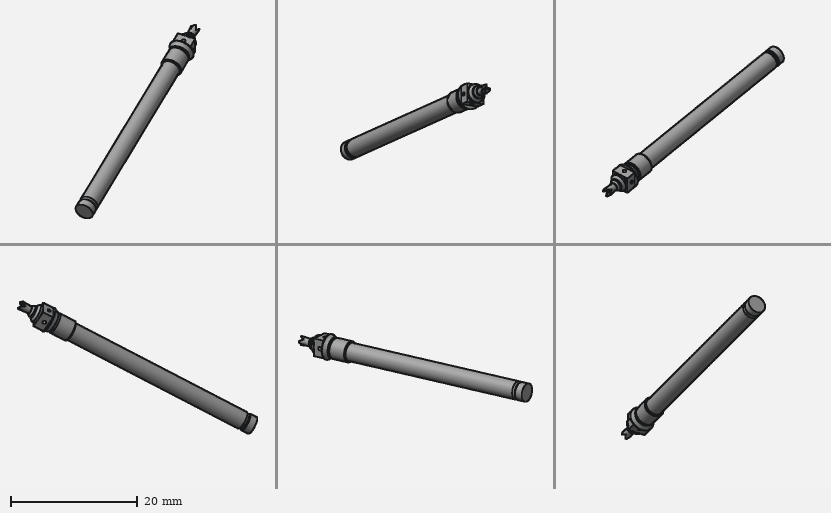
import cadquery as cq

TOTAL_LENGTH = 43.1

BODY_RADIUS = 1.5
CRIMP_RADIUS = 1.36
COLLAR_RADIUS = 1.74
COLLAR_ROOT_RADIUS = 1.56
NECK_RADIUS = 1.64
NECK_TOP_RADIUS = 1.70
RIM_RADIUS = 2.1
NOSE_TIP_RADIUS = 1.07
SHOULDER_RADIUS = 1.0
MOUTH_RADIUS = 0.72
STEM_RADIUS = 0.6
CROWN_RADIUS = 0.74

CRIMP_START = 1.25
CRIMP_FLOOR = 1.45
CRIMP_END = 1.85

COLLAR_ROOT = TOTAL_LENGTH - 9.46
COLLAR_START = TOTAL_LENGTH - 9.3
COLLAR_END = TOTAL_LENGTH - 6.5
NECK_START = TOTAL_LENGTH - 6.15
RIM_END = TOTAL_LENGTH - 5.25
BLOCK_END = TOTAL_LENGTH - 3.4
NOSE_START = TOTAL_LENGTH - 3.0
SHOULDER_START = TOTAL_LENGTH - 2.52
SHOULDER_END = TOTAL_LENGTH - 2.27
STEM_START = TOTAL_LENGTH - 1.85

RIM_THICKNESS = 0.1
FLARE_SAG = 0.08
BLOCK_WIDTH = 2 * BODY_RADIUS

DIMPLE_RADIUS = 0.3
DIMPLE_DEPTH = 0.3
DIMPLE_STATION = TOTAL_LENGTH - 4.52

NOTCH_DEPTH = 0.75
NOTCH_WIDTH = 0.84

QUARTER_TURNS = (0, 90, 180, 270)


def turn_about_axis(shape, angle):
    return shape.rotate((0, 0, 0), (0, 1, 0), angle)


def turned_body():
    """Revolve the stepped half profile about the Y axis; the sketch runs along (Y, Z)."""
    flare_start = RIM_END - RIM_THICKNESS
    flare_middle = (
        (NECK_START + flare_start) / 2,
        (COLLAR_RADIUS + RIM_RADIUS) / 2 - FLARE_SAG,
    )
    profile = (
        cq.Workplane("YZ")
        .lineTo(0, BODY_RADIUS)
        .lineTo(CRIMP_START, BODY_RADIUS)
        .lineTo(CRIMP_FLOOR, CRIMP_RADIUS)
        .threePointArc(((CRIMP_FLOOR + CRIMP_END) / 2, CRIMP_RADIUS), (CRIMP_END, BODY_RADIUS))
        .lineTo(COLLAR_ROOT, BODY_RADIUS)
        .lineTo(COLLAR_START, COLLAR_ROOT_RADIUS)
        .lineTo(COLLAR_START, COLLAR_RADIUS)
        .lineTo(COLLAR_END, COLLAR_RADIUS)
        .lineTo(COLLAR_END, NECK_TOP_RADIUS)
        .lineTo(NECK_START, NECK_RADIUS)
        .lineTo(NECK_START, COLLAR_RADIUS)
        .threePointArc(flare_middle, (flare_start, RIM_RADIUS))
        .lineTo(RIM_END, RIM_RADIUS)
        .lineTo(RIM_END, BODY_RADIUS)
        .lineTo(NOSE_START, BODY_RADIUS)
        .lineTo(SHOULDER_START, NOSE_TIP_RADIUS)
        .lineTo(SHOULDER_START, SHOULDER_RADIUS)
        .lineTo(SHOULDER_END, SHOULDER_RADIUS)
        .lineTo(STEM_START, MOUTH_RADIUS)
        .lineTo(STEM_START, STEM_RADIUS)
        .lineTo(TOTAL_LENGTH, CROWN_RADIUS)
        .lineTo(TOTAL_LENGTH, 0)
        .close()
    )
    return profile.revolve(360, (0, 0, 0), (1, 0, 0))


def square_block():
    """Square grip between the rim and the nose."""
    length = BLOCK_END - RIM_END
    block = cq.Workplane("XY").box(BLOCK_WIDTH, length, BLOCK_WIDTH)
    return block.translate((0, RIM_END + length / 2, 0))


def dimple():
    """Cone sunk into the +Z side of the block."""
    apex = cq.Vector(0, DIMPLE_STATION, BLOCK_WIDTH / 2 - DIMPLE_DEPTH)
    cone = cq.Solid.makeCone(0, DIMPLE_RADIUS, DIMPLE_DEPTH, apex, cq.Vector(0, 0, 1))
    return cq.Workplane(cone)


def crown_notch():
    """V groove across the tip, running along Z."""
    return (
        cq.Workplane("XY")
        .moveTo(0, TOTAL_LENGTH - NOTCH_DEPTH)
        .lineTo(NOTCH_WIDTH / 2, TOTAL_LENGTH)
        .lineTo(-NOTCH_WIDTH / 2, TOTAL_LENGTH)
        .close()
        .extrude(CROWN_RADIUS, both=True)
    )


result = turned_body().union(square_block())

for angle in QUARTER_TURNS:
    result = result.cut(turn_about_axis(dimple(), angle))

for angle in (45, 135):
    result = result.cut(turn_about_axis(crown_notch(), angle))